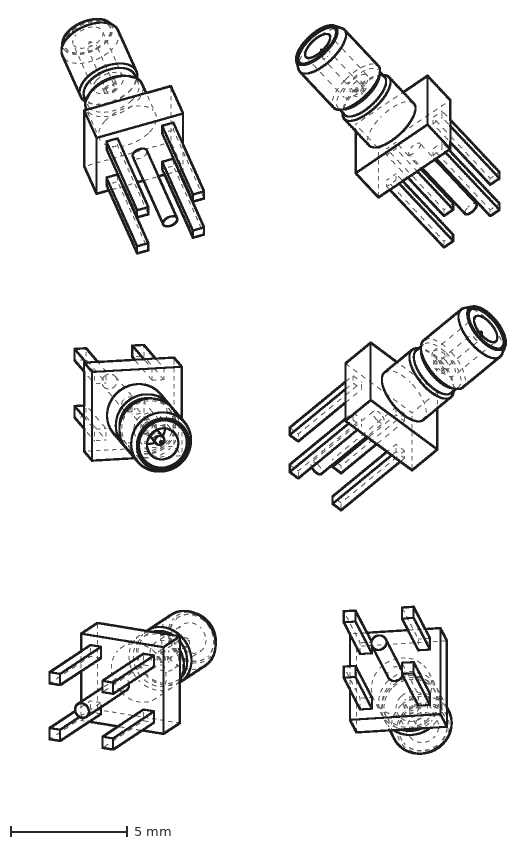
import cadquery as cq

total_length = 10.69

flange_side = 3.95
flange_start = 5.15
flange_thickness = 1.58
flange_end = flange_start + flange_thickness

barrel_diameter = 2.64
nose_diameter = 2.3
nose_chamfer_length = 0.36
groove_diameter = 2.37
groove_start = 2.72
groove_end = 3.43
groove_slope = (barrel_diameter - groove_diameter) / 2

recess_diameter = 2.12
recess_depth = 0.05
bore_diameter = 1.38
bore_depth = 2.67
well_diameter = 0.63
well_depth = 0.32

contact_diameter = 0.41
contact_tip_diameter = 0.1
contact_taper_length = 0.32
contact_start = 0.33

terminal_diameter = 0.66
terminal_end = 10.63
leg_side = 0.51
leg_pitch = 2.54


def cylinder(start, end, diameter):
    """Solid cylinder along the connector axis."""
    return cq.Workplane("YZ", origin=(start, 0, 0)).circle(diameter / 2).extrude(end - start)


def make_barrel():
    barrel_radius = barrel_diameter / 2
    groove_radius = groove_diameter / 2
    profile = [
        (0, 0),
        (0, nose_diameter / 2),
        (nose_chamfer_length, barrel_radius),
        (groove_start, barrel_radius),
        (groove_start + groove_slope, groove_radius),
        (groove_end - groove_slope, groove_radius),
        (groove_end, barrel_radius),
        (flange_start, barrel_radius),
        (flange_start, 0),
    ]
    return cq.Workplane("XY").polyline(profile).close().revolve(360, (0, 0, 0), (1, 0, 0))


def make_flange():
    plane = cq.Workplane("YZ", origin=(flange_start, 0, 0))
    return plane.rect(flange_side, flange_side).extrude(flange_thickness)


def make_socket():
    recess = cylinder(0, recess_depth, recess_diameter)
    bore = cylinder(0, bore_depth, bore_diameter)
    well = cylinder(0, bore_depth + well_depth, well_diameter)
    return recess.union(bore).union(well)


def make_contact():
    taper_end = contact_start + contact_taper_length
    profile = [
        (contact_start, 0),
        (contact_start, contact_tip_diameter / 2),
        (taper_end, contact_diameter / 2),
        (flange_start, contact_diameter / 2),
        (flange_start, 0),
    ]
    return cq.Workplane("XY").polyline(profile).close().revolve(360, (0, 0, 0), (1, 0, 0))


def make_legs():
    plane = cq.Workplane("YZ", origin=(flange_end, 0, 0))
    corners = plane.rarray(leg_pitch, leg_pitch, 2, 2)
    return corners.rect(leg_side, leg_side).extrude(total_length - flange_end)


body = make_barrel().union(make_flange()).cut(make_socket())
terminal = cylinder(flange_end, terminal_end, terminal_diameter)
result = body.union(make_contact()).union(terminal).union(make_legs())